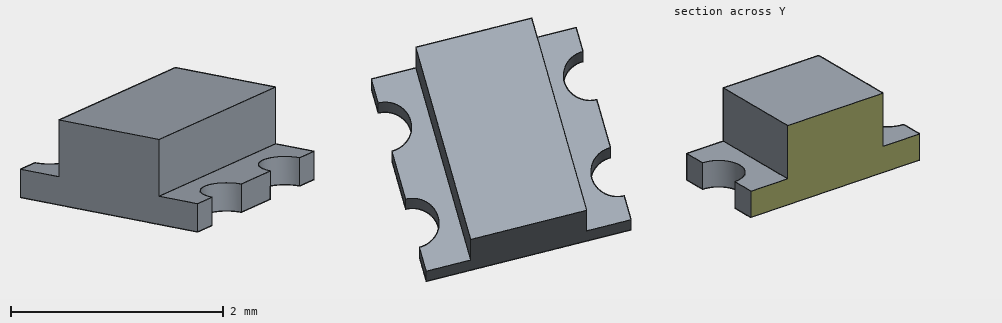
import cadquery as cq

side = 2.0
total_height = 0.84
base_height = total_height / 3
body_width = 1.132
notch_radius = side / 8
notch_spacing = side / 2

base = cq.Workplane("XY").box(side, side, base_height, centered=(True, True, False))

notches = (
    cq.Workplane("XY")
    .rarray(side, notch_spacing, 2, 2)
    .circle(notch_radius)
    .extrude(base_height)
)

body = cq.Workplane("XY").box(body_width, side, total_height, centered=(True, True, False))

result = base.cut(notches).union(body)